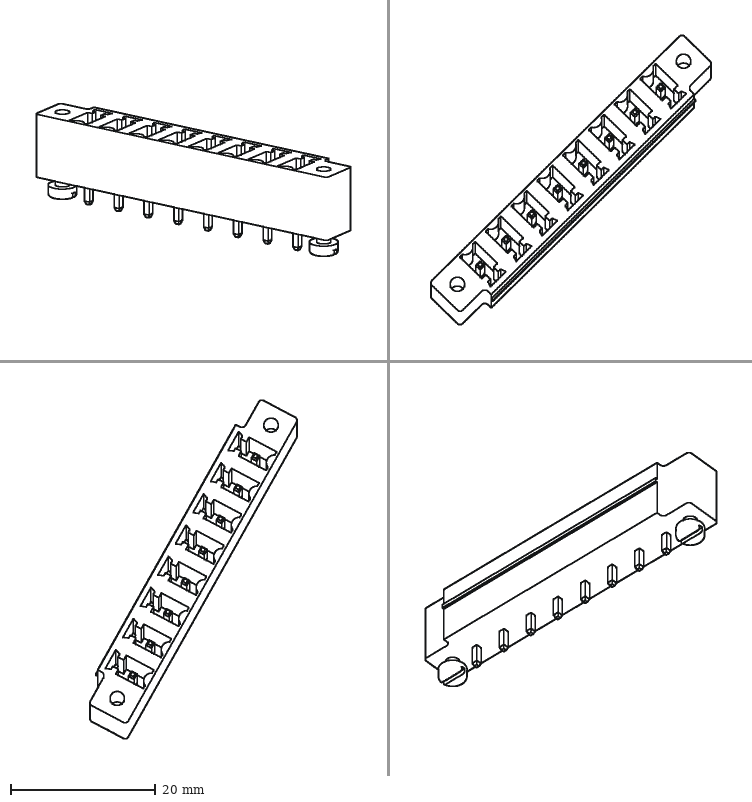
import cadquery as cq


overall_length = 49.76
body_length = 40.0
body_height = 9.2
body_depth = 7.25
ear_depth = 6.0
front_y = -2.9
ear_back_y = front_y + ear_depth
corner_radius = 0.5
ear_root_radius = 0.6

rib_depth = 0.3
rib_height = 0.6
rib_top_drop = 3.0

pin_count = 8
pitch = 5.08
pin_positions = [(i - (pin_count - 1) / 2) * pitch for i in range(pin_count)]
cavity_floor = 1.2
cavity_half_width = 1.52
cavity_front_y = front_y + 0.4
shoulder_y = front_y + 4.75
neck_half_width = 0.75
neck_back_y = front_y + 5.65
key_front_half_width = 1.25
cavity_back_y = front_y + 6.4
bump_half_width = 1.0
bump_height = 0.62

pin_width = 0.88
pin_tip_width = 0.5
pin_taper = 0.5
pin_below = 3.4
pin_top_drop = 2.0

ear_offset = 4.5
screw_x = pin_positions[-1] + ear_offset
stem_diameter = 2.0
stem_length = 1.4
head_diameter = 4.0
head_bottom_drop = 3.0
head_round = 0.4
slot_width = 0.6
slot_depth = 0.8
hole_depth = 6.0


def make_housing():
    """Return the block with its two lower ears and the rib on its back wall."""
    ears = (
        cq.Workplane("XY")
        .box(overall_length, ear_depth, body_height, centered=(True, False, False))
        .translate((0, front_y, 0))
        .edges("|Z")
        .fillet(corner_radius)
    )
    block = (
        cq.Workplane("XY")
        .box(body_length, body_depth, body_height, centered=(True, False, False))
        .translate((0, front_y, 0))
    )
    half_length = body_length / 2
    ear_roots = cq.selectors.BoxSelector(
        (-half_length - corner_radius, ear_back_y - corner_radius, 0),
        (half_length + corner_radius, ear_back_y + corner_radius, body_height),
    )
    housing = ears.union(block).edges("|Z").edges(ear_roots).fillet(ear_root_radius)
    rib_bottom = body_height - rib_top_drop - rib_height
    rib = (
        cq.Workplane("XY")
        .box(body_length, body_depth + rib_depth, rib_height, centered=(True, False, False))
        .translate((0, front_y, rib_bottom))
    )
    return housing.union(rib)


def make_cavity(x):
    """Return the keyed pocket around one pin, with a rounded bump on its front wall."""
    return (
        cq.Workplane("XY", origin=(x, 0, cavity_floor))
        .moveTo(-cavity_half_width, cavity_front_y)
        .lineTo(-bump_half_width, cavity_front_y)
        .threePointArc((0, cavity_front_y + bump_height), (bump_half_width, cavity_front_y))
        .lineTo(cavity_half_width, cavity_front_y)
        .lineTo(cavity_half_width, shoulder_y)
        .lineTo(neck_half_width, shoulder_y)
        .lineTo(neck_half_width, neck_back_y)
        .lineTo(key_front_half_width, neck_back_y)
        .lineTo(cavity_half_width, cavity_back_y)
        .lineTo(-cavity_half_width, cavity_back_y)
        .lineTo(-key_front_half_width, neck_back_y)
        .lineTo(-neck_half_width, neck_back_y)
        .lineTo(-neck_half_width, shoulder_y)
        .lineTo(-cavity_half_width, shoulder_y)
        .close()
        .extrude(body_height - cavity_floor)
    )


def make_pin(x):
    """Return a square pin with a tapered tip at each end."""
    shank_bottom = pin_taper - pin_below
    shank_top = body_height - pin_top_drop - pin_taper
    shank = (
        cq.Workplane("XY", origin=(x, 0, shank_bottom))
        .rect(pin_width, pin_width)
        .extrude(shank_top - shank_bottom)
    )
    for face in (">Z", "<Z"):
        shank = (
            shank.faces(face)
            .workplane(centerOption="CenterOfMass")
            .rect(pin_width, pin_width)
            .workplane(offset=pin_taper)
            .rect(pin_tip_width, pin_tip_width)
            .loft(combine=True)
        )
    return shank


def make_screw(x):
    """Return the stem and the slotted, rounded head below one ear."""
    head_height = head_bottom_drop - stem_length
    stem = cq.Workplane("XY", origin=(x, 0, -stem_length)).circle(stem_diameter / 2).extrude(stem_length)
    head = (
        cq.Workplane("XY", origin=(x, 0, -head_bottom_drop))
        .circle(head_diameter / 2)
        .extrude(head_height)
        .faces("<Z")
        .edges()
        .fillet(head_round)
    )
    slot = (
        cq.Workplane("XY", origin=(x, 0, -head_bottom_drop))
        .rect(head_diameter, slot_width)
        .extrude(slot_depth)
    )
    return stem.union(head.cut(slot))


def make_screw_hole(x):
    """Return the blind hole in the top of one ear."""
    return cq.Workplane("XY", origin=(x, 0, body_height)).circle(stem_diameter / 2).extrude(-hole_depth)


result = make_housing()
for pin_x in pin_positions:
    result = result.cut(make_cavity(pin_x)).union(make_pin(pin_x))
for ear_x in (-screw_x, screw_x):
    result = result.cut(make_screw_hole(ear_x)).union(make_screw(ear_x))